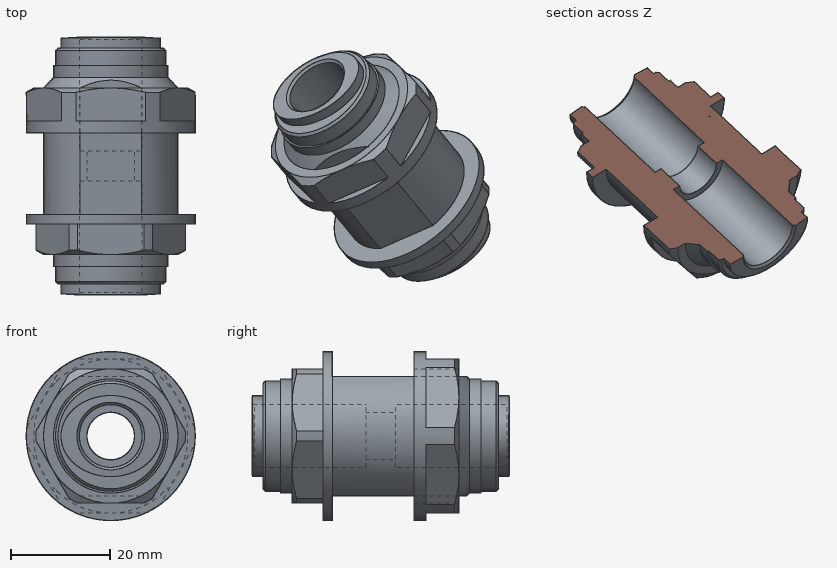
import cadquery as cq
import math

LENGTH = 51.8
END_Y = LENGTH / 2

SLEEVE_WIDTH = 20.0
SLEEVE_HEIGHT = 16.3
SLEEVE_LENGTH = 2.2
SLEEVE_CROWN = 0.2
SLEEVE_BORE_RADIUS = 6.3
SLEEVE_BORE_CHAMFER = 0.5

CAP_RADIUS = 11.1
CAP_CHAMFER = 0.5
CAP_LENGTH = 3.5
SHOULDER_RADIUS = 11.5
SHOULDER_LENGTH = 2.4

BARREL_RADIUS = 13.5
BARREL_ACROSS_FLATS = 24.0
BARREL_CHAMFER_LENGTH = 2.1

FLANGE_RADIUS = 17.0
FRONT_HEX_ACROSS_FLATS = 27.0
FRONT_HEX_CORNER_RADIUS = 15.05
FRONT_HEX_LENGTH = 6.15
FRONT_FLANGE_LENGTH = 1.95

NUT_ACROSS_FLATS = 31.0
NUT_LENGTH = 6.6
NUT_FLANGE_LENGTH = 2.45
HEX_CHAMFER_ANGLE = 30.0

STOP_BORE_RADIUS = 4.75
STOP_LENGTH = 6.0

SLEEVE_ROOT = END_Y - SLEEVE_LENGTH
CAP_ROOT = SLEEVE_ROOT - CAP_LENGTH
BARREL_END = CAP_ROOT - SHOULDER_LENGTH
FRONT_HEX_ROOT = -BARREL_END + FRONT_HEX_LENGTH
NUT_END = BARREL_END - BARREL_CHAMFER_LENGTH
NUT_ROOT = NUT_END - NUT_LENGTH


def revolve_about_y(points):
    """Revolve a closed outline of (radius, y) points about the Y axis."""
    return cq.Workplane("XY").polyline(points).close().revolve(360, (0, 0), (0, 1))


def cylinder(radius, y_start, length):
    """Cylinder on the Y axis, running from y_start toward +Y."""
    return cq.Workplane("XZ", origin=(0, y_start, 0)).circle(radius).extrude(-length)


def chamfered_hexagon(across_flats, corner_radius, length):
    """Hexagon from y = 0 to length with flats facing +-Z, turned corners and a chamfered far end."""
    across_corners = across_flats / math.cos(math.pi / 6)
    prism = cq.Workplane("XZ").polygon(6, across_corners).extrude(-length)
    face_radius = across_flats / 2
    chamfer_depth = (corner_radius - face_radius) * math.tan(math.radians(HEX_CHAMFER_ANGLE))
    envelope = revolve_about_y([
        (0, 0),
        (corner_radius, 0),
        (corner_radius, length - chamfer_depth),
        (face_radius, length),
        (0, length),
    ])
    return prism.intersect(envelope)


def barrel():
    """Round barrel, chamfered at the +Y end and flattened above and below."""
    turned = revolve_about_y([
        (0, -BARREL_END),
        (BARREL_RADIUS, -BARREL_END),
        (BARREL_RADIUS, NUT_END),
        (SHOULDER_RADIUS, BARREL_END),
        (0, BARREL_END),
    ])
    flats = cq.Workplane("XY").box(2 * BARREL_RADIUS, LENGTH, BARREL_ACROSS_FLATS)
    return turned.intersect(flats)


def front_hexagon():
    """Hexagon at the -Y end with its flange behind it."""
    hexagon = chamfered_hexagon(FRONT_HEX_ACROSS_FLATS, FRONT_HEX_CORNER_RADIUS, FRONT_HEX_LENGTH)
    hexagon = hexagon.rotate((0, 0, 0), (0, 0, 1), 180).translate((0, FRONT_HEX_ROOT, 0))
    return hexagon.union(cylinder(FLANGE_RADIUS, FRONT_HEX_ROOT, FRONT_FLANGE_LENGTH))


def lock_nut():
    """Hexagon nut at the +Y end with its flange in front of it and a round hole for the barrel."""
    hexagon = chamfered_hexagon(NUT_ACROSS_FLATS, FLANGE_RADIUS, NUT_LENGTH)
    hexagon = hexagon.translate((0, NUT_ROOT, 0))
    flange_start = NUT_ROOT - NUT_FLANGE_LENGTH
    nut = hexagon.union(cylinder(FLANGE_RADIUS, flange_start, NUT_FLANGE_LENGTH))
    return nut.cut(cylinder(BARREL_RADIUS, flange_start, NUT_END - flange_start))


def oval_sleeve():
    """Oval release sleeve at the +Y end with a slightly conical end face."""
    oval = (
        cq.Workplane("XZ", origin=(0, SLEEVE_ROOT, 0))
        .ellipse(SLEEVE_WIDTH / 2, SLEEVE_HEIGHT / 2)
        .extrude(-SLEEVE_LENGTH)
    )
    rim_radius = SLEEVE_WIDTH / 2
    mouth_radius = SLEEVE_BORE_RADIUS + SLEEVE_BORE_CHAMFER
    crown = revolve_about_y([
        (0, SLEEVE_ROOT),
        (rim_radius, SLEEVE_ROOT),
        (rim_radius, END_Y - SLEEVE_CROWN),
        (mouth_radius, END_Y),
        (0, END_Y),
    ])
    return oval.intersect(crown)


def tube_port():
    """Shoulder, cap and sleeve of the +Y end."""
    turned = revolve_about_y([
        (0, BARREL_END),
        (SHOULDER_RADIUS, BARREL_END),
        (SHOULDER_RADIUS, CAP_ROOT),
        (CAP_RADIUS, CAP_ROOT),
        (CAP_RADIUS, SLEEVE_ROOT - CAP_CHAMFER),
        (CAP_RADIUS - CAP_CHAMFER, SLEEVE_ROOT),
        (0, SLEEVE_ROOT),
    ])
    return turned.union(oval_sleeve())


def tube_bore():
    """Tube socket of the +Y end, from the stop to the chamfered mouth."""
    return revolve_about_y([
        (0, STOP_LENGTH / 2),
        (SLEEVE_BORE_RADIUS, STOP_LENGTH / 2),
        (SLEEVE_BORE_RADIUS, END_Y - SLEEVE_BORE_CHAMFER),
        (SLEEVE_BORE_RADIUS + SLEEVE_BORE_CHAMFER, END_Y),
        (0, END_Y),
    ])


body = barrel().union(front_hexagon()).union(lock_nut())
for end_angle in (0, 180):
    body = body.union(tube_port().rotate((0, 0, 0), (0, 0, 1), end_angle))
for end_angle in (0, 180):
    body = body.cut(tube_bore().rotate((0, 0, 0), (0, 0, 1), end_angle))
result = body.cut(cylinder(STOP_BORE_RADIUS, -END_Y, LENGTH))